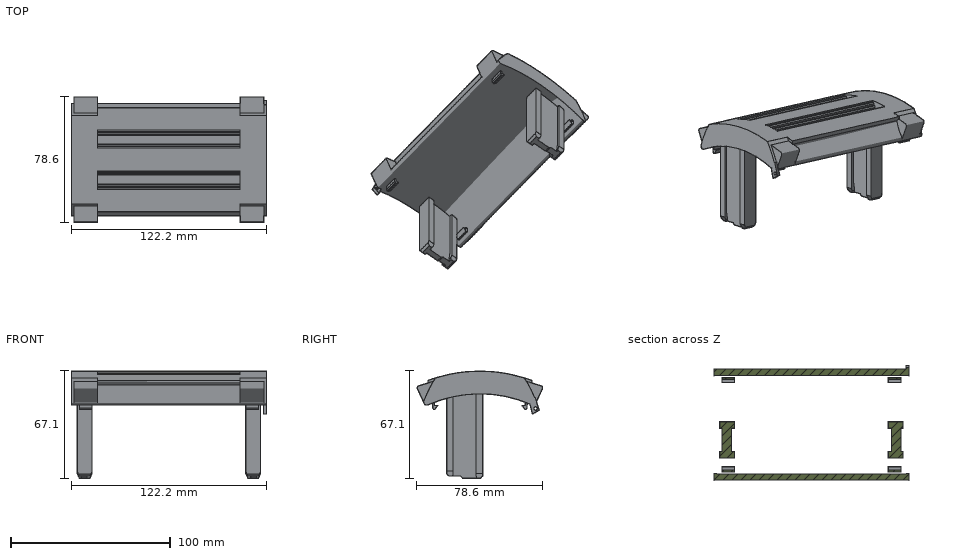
import cadquery as cq
import math


LENGTH = 122.2
OUTER_RADIUS = 93.8
THICKNESS = 14.3
INNER_RADIUS = OUTER_RADIUS - THICKNESS
END_LENGTH = 16.5
MID_LENGTH = LENGTH - 2 * END_LENGTH
RIM_HALF_WIDTH = 35.2

END_TOP_HALF_WIDTH = 27.8
END_BULGE = (31.5, -10.8)
END_RIM_ROUND = 2.0
END_RIM_START_ANGLE = 12.0

LIP_TOP_HALF_WIDTH = 32.4
LIP_NOSE = (32.6, -6.5)
LIP_BOTTOM = (32.4, -7.1)
FLANK_TOP = (30.2, -8.8)
FLANK_HOLLOW = (31.9, -13.6)
MID_RIM_ROUND = 2.0
MID_RIM_START_ANGLE = 40.0

GROOVE_ANGLE = 8.0
GROOVE_HALF_WIDTH = 5.7
GROOVE_STEPS = 2
WALL_HEIGHT = 1.04
TREAD_WIDTH = 1.0
BEVEL_WIDTH = 0.5
BEVEL_HEIGHT = 0.9
GROOVE_HEADROOM = 2.5

PAD_INSET = 1.7
PAD_LENGTH = END_LENGTH - PAD_INSET
PAD_OUTLINE = [
    (29.0, -6.4),
    (39.9, -9.7),
    (35.1, -19.9),
    (26.9, -14.7),
]
PAD_ROUND = 1.5

LEG_INSET = 3.7
LEG_WIDTH = 9.4
LEG_TOP = -9.8
FLANGE_WIDTH = 4.2
WEB_OVERLAP = 0.6
LEG_BACK = 1.8
LEG_FRONT = -20.9
LEG_BOTTOM = -67.1
FRONT_LIFT = 1.3
FLANGE_TIP_HEIGHT = 3.0
FLANGE_TIP_TAPER = 1.3
FLANGE_CORNER_CHAMFER = 1.5
FLANGE_INNER_CHAMFER = 0.5
OUTER_RECESS = 1.3
INNER_RECESS = 2.0
WEB_TAPER = 1.3
WEB_TAPER_START = -58.9
WEB_STEP = -10.8

HOOK_INSET = 5.0
HOOK_LENGTH = LEG_INSET + LEG_WIDTH - HOOK_INSET
HOOK_OUTLINE = [
    (29.7, -18.3),
    (29.6, -23.1),
    (29.0, -24.1),
    (28.2, -24.1),
    (26.3, -21.5),
    (28.4, -21.5),
    (28.4, -18.3),
]

TAB_THICKNESS = 2.0
TAB_OUTLINE = [
    (34.6, -16.5),
    (37.2, -24.5),
    (32.9, -27.0),
    (30.1, -16.5),
]
TAB_HOLE_CENTRE = (34.8, -23.5)
TAB_HOLE_RADIUS = 1.0


def arch_height(radius, half_width):
    """Z of an arc concentric with the shell at a given distance from the middle."""
    return math.sqrt(radius**2 - half_width**2) - OUTER_RADIUS


def slab(outline, start, length):
    """Extrude a closed YZ outline along +X from the given X."""
    return outline.close().extrude(length).translate((start, 0, 0))


def at_both_ends(shape):
    return shape.union(shape.mirror("YZ"))


def at_both_sides(shape):
    return shape.union(shape.mirror("XZ"))


def rim_round(half_width, radius, start_angle):
    """Start, middle and end of the round that joins a flank to the inner arc.

    The round touches the inner arc and the given half width; the start angle
    is measured upward from +Y, in degrees.
    """
    centre_y = half_width - radius
    centre_z = arch_height(INNER_RADIUS + radius, centre_y)
    start = math.radians(start_angle)
    end = math.atan2(-OUTER_RADIUS - centre_z, -centre_y)
    angles = (start, (start + end) / 2, end)
    return [(centre_y + radius * math.cos(a), centre_z + radius * math.sin(a)) for a in angles]


def mirrored(point):
    return (-point[0], point[1])


def end_stretch():
    top = (END_TOP_HALF_WIDTH, arch_height(OUTER_RADIUS, END_TOP_HALF_WIDTH))
    foot, rim, rim_end = rim_round(RIM_HALF_WIDTH, END_RIM_ROUND, END_RIM_START_ANGLE)
    outline = (
        cq.Workplane("YZ")
        .moveTo(*mirrored(top))
        .threePointArc((0, 0), top)
        .threePointArc(END_BULGE, foot)
        .threePointArc(rim, rim_end)
        .threePointArc((0, -THICKNESS), mirrored(rim_end))
        .threePointArc(mirrored(rim), mirrored(foot))
        .threePointArc(mirrored(END_BULGE), mirrored(top))
    )
    return slab(outline, -LENGTH / 2, END_LENGTH)


def middle_stretch():
    lip_top = (LIP_TOP_HALF_WIDTH, arch_height(OUTER_RADIUS, LIP_TOP_HALF_WIDTH))
    foot, rim, rim_end = rim_round(RIM_HALF_WIDTH, MID_RIM_ROUND, MID_RIM_START_ANGLE)
    outline = (
        cq.Workplane("YZ")
        .moveTo(*mirrored(lip_top))
        .threePointArc((0, 0), lip_top)
        .threePointArc(LIP_NOSE, LIP_BOTTOM)
        .lineTo(*FLANK_TOP)
        .threePointArc(FLANK_HOLLOW, foot)
        .threePointArc(rim, rim_end)
        .threePointArc((0, -THICKNESS), mirrored(rim_end))
        .threePointArc(mirrored(rim), mirrored(foot))
        .threePointArc(mirrored(FLANK_HOLLOW), mirrored(FLANK_TOP))
        .lineTo(*mirrored(LIP_BOTTOM))
        .threePointArc(mirrored(LIP_NOSE), mirrored(lip_top))
    )
    return slab(outline, -MID_LENGTH / 2, MID_LENGTH)


def groove_cutter(angle):
    """Stepped groove, widest at the top, turned about the arch axis."""
    y = GROOVE_HALF_WIDTH
    z = -WALL_HEIGHT
    right_side = [(y, GROOVE_HEADROOM), (y, z)]
    for _ in range(GROOVE_STEPS):
        y -= TREAD_WIDTH
        right_side.append((y, z))
        y -= BEVEL_WIDTH
        z -= BEVEL_HEIGHT
        right_side.append((y, z))
        z -= WALL_HEIGHT
        right_side.append((y, z))
    left_side = [mirrored(point) for point in reversed(right_side)]
    outline = cq.Workplane("YZ").polyline(right_side + left_side)
    cutter = slab(outline, -MID_LENGTH / 2, MID_LENGTH)
    return cutter.rotate((0, 0, -OUTER_RADIUS), (1, 0, -OUTER_RADIUS), angle)


def corner_pad():
    outline = cq.Workplane("YZ").polyline(PAD_OUTLINE)
    pad = slab(outline, -LENGTH / 2 + PAD_INSET, PAD_LENGTH)
    return pad.edges("|X").edges(">Y").fillet(PAD_ROUND)


def leg_flange(outer_y, inner_y, bottom):
    """One upright flange with a tapered foot and chamfered bottom edges."""
    inward = math.copysign(1, inner_y - outer_y)
    side = slab(
        cq.Workplane("YZ").polyline([
            (outer_y, LEG_TOP),
            (outer_y, bottom + FLANGE_CORNER_CHAMFER),
            (outer_y + inward * FLANGE_CORNER_CHAMFER, bottom),
            (inner_y - inward * FLANGE_INNER_CHAMFER, bottom),
            (inner_y, bottom + FLANGE_CORNER_CHAMFER),
            (inner_y, LEG_TOP),
        ]),
        0, LEG_WIDTH,
    )
    face = (
        cq.Workplane("XZ", origin=(0, LEG_BACK, 0))
        .polyline([
            (0, LEG_TOP),
            (0, bottom + FLANGE_TIP_HEIGHT),
            (FLANGE_TIP_TAPER, bottom),
            (LEG_WIDTH - FLANGE_TIP_TAPER, bottom),
            (LEG_WIDTH, bottom + FLANGE_TIP_HEIGHT),
            (LEG_WIDTH, LEG_TOP),
        ])
        .close()
        .extrude(LEG_BACK - LEG_FRONT)
    )
    return side.intersect(face)


def leg_web(back_y, front_y, front_bottom):
    """Web between the flanges, thinned at the foot and stepped along its bottom."""
    side = slab(
        cq.Workplane("YZ").polyline([
            (back_y, LEG_TOP),
            (back_y, LEG_BOTTOM),
            (WEB_STEP, LEG_BOTTOM),
            (WEB_STEP - FRONT_LIFT, front_bottom),
            (front_y, front_bottom),
            (front_y, LEG_TOP),
        ]),
        0, LEG_WIDTH,
    )
    outer_x = OUTER_RECESS
    inner_x = LEG_WIDTH - INNER_RECESS
    face = (
        cq.Workplane("XZ", origin=(0, LEG_BACK, 0))
        .polyline([
            (outer_x, LEG_TOP),
            (outer_x, WEB_TAPER_START),
            (outer_x + WEB_TAPER, LEG_BOTTOM),
            (inner_x - WEB_TAPER, LEG_BOTTOM),
            (inner_x, WEB_TAPER_START),
            (inner_x, LEG_TOP),
        ])
        .close()
        .extrude(LEG_BACK - LEG_FRONT)
    )
    return side.intersect(face)


def leg():
    front_bottom = LEG_BOTTOM + FRONT_LIFT
    back_inner = LEG_BACK - FLANGE_WIDTH
    front_inner = LEG_FRONT + FLANGE_WIDTH
    back_flange = leg_flange(LEG_BACK, back_inner, LEG_BOTTOM)
    front_flange = leg_flange(LEG_FRONT, front_inner, front_bottom)
    web = leg_web(back_inner + WEB_OVERLAP, front_inner - WEB_OVERLAP, front_bottom)
    shape = back_flange.union(front_flange).union(web)
    return shape.translate((-LENGTH / 2 + LEG_INSET, 0, 0))


def snap_hook():
    """Small hook under the shell, its barb pointing to the middle of the arch."""
    outline = cq.Workplane("YZ").polyline(HOOK_OUTLINE)
    return slab(outline, -LENGTH / 2 + HOOK_INSET, HOOK_LENGTH)


def hinge_tab():
    start = LENGTH / 2 - TAB_THICKNESS
    outline = cq.Workplane("YZ").polyline(TAB_OUTLINE)
    tab = slab(outline, start, TAB_THICKNESS)
    hole = (
        cq.Workplane("YZ", origin=(start, 0, 0))
        .center(*TAB_HOLE_CENTRE)
        .circle(TAB_HOLE_RADIUS)
        .extrude(TAB_THICKNESS)
    )
    return tab.cut(hole)


shell = middle_stretch().union(at_both_ends(end_stretch()))
for groove_angle in (-GROOVE_ANGLE, GROOVE_ANGLE):
    shell = shell.cut(groove_cutter(groove_angle))

pads = at_both_ends(at_both_sides(corner_pad()))
hooks = at_both_ends(at_both_sides(snap_hook()))
legs = at_both_ends(leg())

result = shell.union(pads).union(hooks).union(legs).union(hinge_tab())